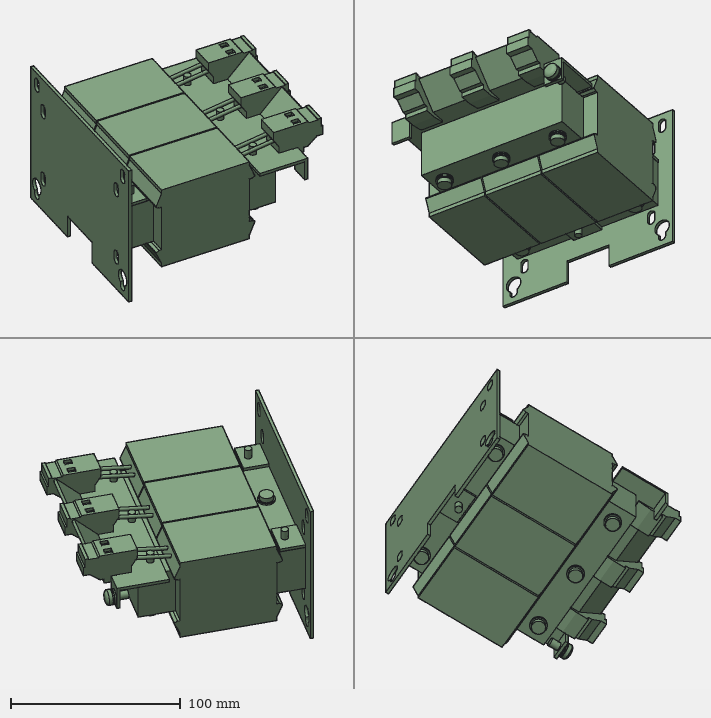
import cadquery as cq


sheet = 2.0
overlap = 0.7
pitch = 40.0
phase_places = (-pitch, 0, pitch)

plate_width = 120.0
plate_height = 95.0
plate_top = 49.7
plate_bottom = plate_top - plate_height
plate_middle = (plate_top + plate_bottom) / 2
slot_width = 5.1
slot_length = 9.3
corner_hole_x = 52.5
upper_slot_z = 41.0
inner_slot_x = 44.8
inner_slot_rise = 24.5
keyhole_diameter = 10.2
keyhole_z = -32.4
keyhole_end_z = -38.9
notch_width = 29.7
notch_depth = 15.0

core_width = 99.4
core_half_height = 15.4
core_back = 104.3
coil_width = 39.0
coil_front = 22.4
coil_back = 81.4
coil_half_height = 27.9
flange_reach = 3.6
flange_outer_z = 25.3
flange_inner_z = 17.0
flange_lip_z = 16.3
flange_ledge = 1.6

tab_width = 19.9
tab_back = 17.7
outer_tab_x = 40.0

front_bolt_y = 12.1
rear_bolt_y = 94.3
bolt_radius = 2.2
bolt_end = 23.6
head_radius = 4.3
front_head_end = 19.6
rear_head_end = 20.5
washer_radius = 5.2
washer_thickness = 1.1
spring_washer_radius = 5.0

bracket_top = core_half_height + sheet
bracket_front = 88.1
bracket_back = 120.3
ear_bottom = 2.3
ear_width = 12.4
lip_foot_y = 117.1
lip_rise = 14.5
lip_edge = sheet / 2 ** 0.5

screw_x = -54.8
screw_z = 7.5
screw_tip_y = 112.2
screw_shank_radius = 2.6
screw_washer_radius = 4.8
screw_neck_radius = 4.0
screw_crown_radius = 2.0
screw_step = 1.0
screw_rim = 2.5
screw_dome = 1.5
screw_bulge = 0.4

terminal_width = 15.1
terminal_top = 33.6
terminal_front = 104.2
terminal_back = 137.3
terminal_floor = 12.8
terminal_step_y = 127.1
recess_front = 128.1
recess_back = 134.0
recess_z = 32.5
ridge_back = 136.2
ridge_z = 33.1
heel_front = 133.3
heel_top = 27.2
heel_bottom = 21.0
shelf_z = 15.8
foot_back = 124.5
foot_flat_end = 116.4
foot_front = 107.8
foot_toe_z = 14.4
foot_bevel_z = 22.1
nose_bottom = 27.9
pocket_x = 3.8
pocket_width = 3.6
pocket_length = 4.7
pocket_y = 121.1
pocket_depth = 2.0
wire_radius = 1.17
wire_start = (108.5, 25.3)
wire_end = (82.4, 21.5)


def box(x_range, y_range, z_range):
    """Box given by its limits along each axis."""
    sizes = [high - low for low, high in (x_range, y_range, z_range)]
    corner = (x_range[0], y_range[0], z_range[0])
    return cq.Workplane("XY").box(*sizes, centered=False).translate(corner)


def side_prism(points, width, middle_x):
    """Outline in Y and Z, extruded along X about middle_x."""
    prism = cq.Workplane("YZ").polyline(points).close().extrude(width / 2, both=True)
    return prism.translate((middle_x, 0, 0))


def upright_cylinder(x, y, radius, z_from, z_to):
    """Cylinder along Z between two heights."""
    bottom = min(z_from, z_to)
    return cq.Workplane("XY", origin=(x, y, bottom)).circle(radius).extrude(abs(z_to - z_from))


def plate_cutter(outline):
    """Cutter through the whole plate from an outline drawn on its front."""
    return outline.extrude(-sheet)


def mounting_plate():
    """Plate with four corner holes, four inner slots and a notch in its lower edge."""
    plate = box((-plate_width / 2, plate_width / 2), (0, sheet), (plate_bottom, plate_top))
    slots = [(x, upper_slot_z) for x in (-corner_hole_x, corner_hole_x)]
    for x in (-inner_slot_x, inner_slot_x):
        for rise in (-inner_slot_rise, inner_slot_rise):
            slots.append((x, plate_middle + rise))
    front = cq.Workplane("XZ")
    plate = plate.cut(plate_cutter(front.pushPoints(slots).slot2D(slot_length, slot_width, 90)))

    neck_length = keyhole_z - keyhole_end_z
    neck_middle_z = (keyhole_z + keyhole_end_z) / 2
    for x in (-corner_hole_x, corner_hole_x):
        plate = plate.cut(plate_cutter(front.center(x, keyhole_z).circle(keyhole_diameter / 2)))
        plate = plate.cut(plate_cutter(front.center(x, keyhole_end_z).circle(slot_width / 2)))
        plate = plate.cut(plate_cutter(front.center(x, neck_middle_z).rect(slot_width, neck_length)))

    notch_top = plate_bottom + notch_depth
    return plate.cut(box((-notch_width / 2, notch_width / 2), (0, sheet), (plate_bottom, notch_top)))


def core():
    """Laminated core as one block behind the plate."""
    return box((-core_width / 2, core_width / 2), (sheet, core_back), (-core_half_height, core_half_height))


def coil(x):
    """Coil whose flanges flare out in front and behind, above and below the core."""
    upper_front = [
        (coil_front, core_half_height),
        (coil_front - flange_ledge, core_half_height),
        (coil_front - flange_reach, flange_lip_z),
        (coil_front - flange_reach, flange_inner_z),
        (coil_front, flange_outer_z),
        (coil_front, coil_half_height),
    ]
    upper_back = [(coil_front + coil_back - y, z) for y, z in reversed(upper_front)]
    upper = upper_front + upper_back
    lower = [(y, -z) for y, z in reversed(upper)]
    return side_prism(upper + lower, coil_width, x)


def tab(x, side):
    """Sheet tab from the plate along the core; side is 1 above and -1 below."""
    low, high = sorted((side * core_half_height, side * (core_half_height + sheet)))
    return box((x - tab_width / 2, x + tab_width / 2), (overlap, tab_back), (low, high))


def bolt(x, y, side, washer_radii, head_end):
    """Through bolt with its head on the given side and its thread end on the other."""
    body = upright_cylinder(x, y, bolt_radius, side * core_half_height, -side * bolt_end)
    body = body.union(upright_cylinder(x, y, head_radius, side * core_half_height, side * head_end))
    seat = core_half_height
    for radius in washer_radii:
        washer = upright_cylinder(x, y, radius, side * seat, side * (seat + washer_thickness))
        body = body.union(washer)
        seat += washer_thickness
    return body


def rear_bracket():
    """Sheet on the core with an ear bent down at each end and a slanted lip between the blocks."""
    end = plate_width / 2
    bracket = box((-end, end), (bracket_front, lip_foot_y), (core_half_height, bracket_top))
    thickness = (core_half_height, bracket_top)
    for ear in ((-end, ear_width - end), (end - ear_width, end)):
        bracket = bracket.union(box(ear, (bracket_front, bracket_back), thickness))
        bracket = bracket.union(box(ear, (bracket_back - sheet, bracket_back), (ear_bottom, bracket_top)))

    lip_tip = (lip_foot_y + lip_rise, bracket_top + lip_rise)
    lip_lower_tip = (lip_tip[0] + lip_edge, lip_tip[1] - lip_edge)
    drop = lip_lower_tip[1] - core_half_height
    lip = [
        (lip_foot_y - sheet, core_half_height),
        (lip_foot_y - sheet, bracket_top),
        (lip_foot_y, bracket_top),
        lip_tip,
        lip_lower_tip,
        (lip_lower_tip[0] - drop, core_half_height),
    ]
    return bracket.union(side_prism(lip, 2 * pitch, 0))


def earth_screw():
    """Round-headed screw through the left ear, turned about an axis along Y."""
    washer_back = bracket_back + screw_step
    neck_back = washer_back + screw_step
    rim_back = neck_back + screw_rim
    crown_back = rim_back + screw_dome
    profile = (
        cq.Workplane("XY")
        .moveTo(0, screw_tip_y)
        .lineTo(screw_shank_radius, screw_tip_y)
        .lineTo(screw_shank_radius, bracket_back)
        .lineTo(screw_washer_radius, bracket_back)
        .lineTo(screw_washer_radius, washer_back)
        .lineTo(screw_neck_radius, washer_back)
        .lineTo(screw_neck_radius, neck_back)
        .lineTo(screw_washer_radius, neck_back)
        .lineTo(screw_washer_radius, rim_back)
        .sagittaArc((screw_crown_radius, crown_back), -screw_bulge)
        .lineTo(0, crown_back)
        .close()
    )
    return profile.revolve(360, (0, 0), (0, 1)).translate((screw_x, 0, screw_z))


def terminal(x):
    """Terminal block with two rectangular wire pockets in its top."""
    outline = [
        (terminal_front, terminal_top),
        (terminal_step_y, terminal_top),
        (recess_front, recess_z),
        (recess_back, recess_z),
        (recess_back, ridge_z),
        (ridge_back, ridge_z),
        (ridge_back, heel_top),
        (terminal_back, heel_top),
        (terminal_back, heel_bottom),
        (heel_front, heel_bottom),
        (terminal_step_y, shelf_z),
        (foot_back, shelf_z),
        (foot_back, terminal_floor),
        (foot_flat_end, terminal_floor),
        (foot_front, foot_toe_z),
        (foot_front, foot_bevel_z),
        (terminal_front, nose_bottom),
    ]
    block = side_prism(outline, terminal_width, x)
    pockets = (
        cq.Workplane("XY", origin=(x, pocket_y, terminal_top))
        .pushPoints([(-pocket_x, 0), (pocket_x, 0)])
        .rect(pocket_width, pocket_length)
        .extrude(-pocket_depth)
    )
    return block.cut(pockets)


def wire(x):
    """Straight wire sloping down from a terminal to its coil."""
    start = cq.Vector(x, *wire_start)
    run = cq.Vector(x, *wire_end) - start
    return cq.Workplane(cq.Solid.makeCylinder(wire_radius, run.Length, start, run))


result = mounting_plate().union(core()).union(rear_bracket()).union(earth_screw())

for x, side in ((-outer_tab_x, 1), (0, -1), (outer_tab_x, 1)):
    result = result.union(tab(x, side))
for x, head_side in zip(phase_places, (-1, 1, -1)):
    result = result.union(bolt(x, front_bolt_y, head_side, [washer_radius], front_head_end))

for x in phase_places:
    result = result.union(coil(x))
    result = result.union(bolt(x, rear_bolt_y, -1, [spring_washer_radius, washer_radius], rear_head_end))
    result = result.union(terminal(x))
    for offset in (-pocket_x, pocket_x):
        result = result.union(wire(x + offset))